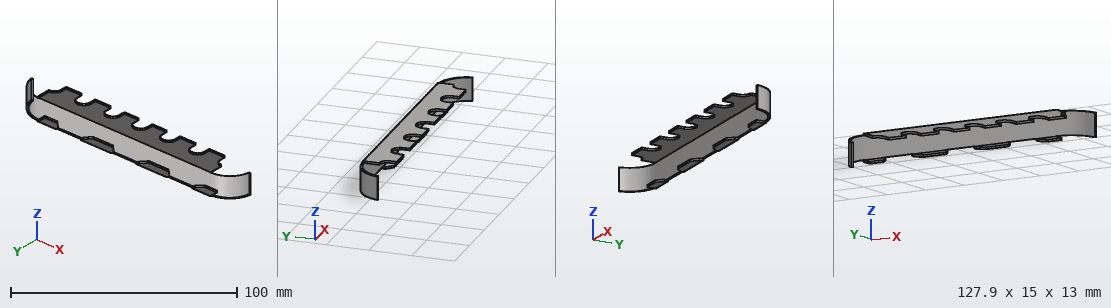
import cadquery as cq
import math

total_length = 127.9
total_depth = 15.0
total_height = 13.0
sheet = 1.0

channel_length = 100.5
outer_bend = sheet

notch_width = 7.9
notch_depth = 7.0
notch_offsets = [0.0, 16.2, 33.2, channel_length / 2]

tab_pitch = 16.2
tab_width = 17.5
tab_depth = 5.1
tab_chamfer = 3.0

end_radius = 13.8

half_channel = channel_length / 2
half_height = total_height / 2
notch_radius = notch_width / 2


def make_channel():
    """Back wall with its outer face on Y = 0, a deep top flange and a shallow bottom one."""
    profile = (
        cq.Workplane("YZ")
        .moveTo(-total_depth, half_height)
        .lineTo(-outer_bend, half_height)
        .radiusArc((0, half_height - outer_bend), outer_bend)
        .lineTo(0, outer_bend - half_height)
        .radiusArc((-outer_bend, -half_height), outer_bend)
        .lineTo(-tab_depth, -half_height)
        .lineTo(-tab_depth, sheet - half_height)
        .lineTo(-sheet, sheet - half_height)
        .lineTo(-sheet, half_height - sheet)
        .lineTo(-total_depth, half_height - sheet)
        .close()
    )
    return profile.extrude(half_channel, both=True)


def make_notch(x):
    """Round-ended cutter through the top flange, open at its free edge."""
    round_y = notch_depth - notch_radius - total_depth
    return (
        cq.Workplane("XY")
        .workplane(offset=half_height - sheet)
        .moveTo(x - notch_radius, -total_depth)
        .lineTo(x - notch_radius, round_y)
        .threePointArc((x, round_y + notch_radius), (x + notch_radius, round_y))
        .lineTo(x + notch_radius, -total_depth)
        .close()
        .extrude(sheet)
    )


def make_tab_gap(x):
    """Cutter for the space between two bottom tabs, spreading out along their chamfers."""
    half_root = tab_pitch - tab_width / 2
    half_mouth = half_root + tab_chamfer
    return (
        cq.Workplane("XY")
        .workplane(offset=-half_height)
        .moveTo(x - half_root, 0)
        .lineTo(x + half_root, 0)
        .lineTo(x + half_root, tab_chamfer - tab_depth)
        .lineTo(x + half_mouth, -tab_depth)
        .lineTo(x - half_mouth, -tab_depth)
        .lineTo(x - half_root, tab_chamfer - tab_depth)
        .close()
        .extrude(sheet)
    )


def make_end_strip():
    """Strip curling forward from the +X end, tangent to the back wall."""
    sweep = math.asin((total_length / 2 - half_channel) / end_radius)

    def point(radius, angle):
        return half_channel + radius * math.sin(angle), radius * math.cos(angle) - end_radius

    inner_radius = end_radius - sheet
    return (
        cq.Workplane("XY")
        .workplane(offset=sheet - half_height)
        .moveTo(*point(end_radius, 0))
        .threePointArc(point(end_radius, sweep / 2), point(end_radius, sweep))
        .lineTo(*point(inner_radius, sweep))
        .threePointArc(point(inner_radius, sweep / 2), point(inner_radius, 0))
        .close()
        .extrude(total_height - 2 * sheet)
    )


result = make_channel()

for offset in notch_offsets:
    for side in (-1, 1):
        result = result.cut(make_notch(side * offset))

for gap_index in (-1, 0, 1):
    result = result.cut(make_tab_gap(gap_index * 2 * tab_pitch))

end_strip = make_end_strip()
result = result.union(end_strip).union(end_strip.mirror("YZ"))